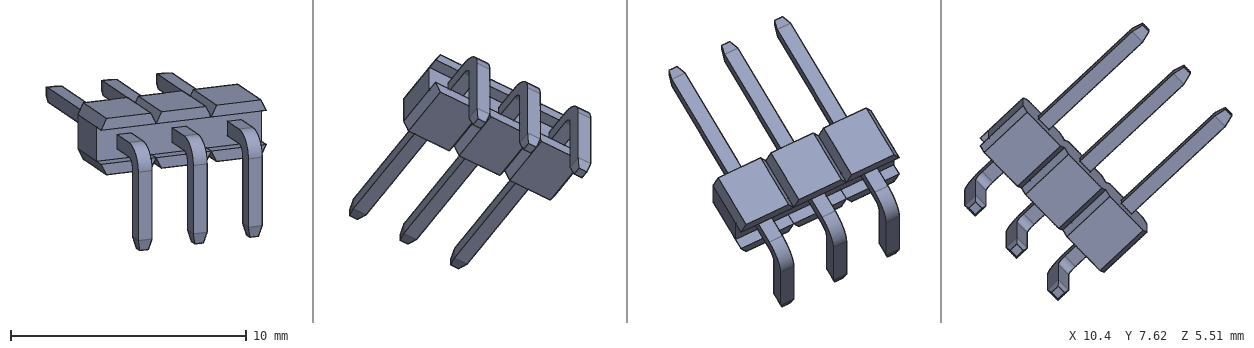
import cadquery as cq

pin_count = 3
total_length = 10.36
row_width = 7.62
pitch = row_width / pin_count

housing_front = 6.01
housing_depth = 2.54
housing_height = 2.51
bevel_width = 0.25
bevel_height = 0.5
channel_depth = 0.5
housing_back = housing_front + housing_depth
channel_height = housing_height - 2 * bevel_height

pin_size = 0.64
tip_size = 0.39
tip_length = 0.5
outer_bend_radius = 1.04
pin_drop = 4.25
half_pin = pin_size / 2
inner_bend_radius = outer_bend_radius - pin_size
bend_center_x = total_length - outer_bend_radius
bend_center_z = half_pin - outer_bend_radius
leg_x = total_length - half_pin

pin_positions = [(i - (pin_count - 1) / 2) * pitch for i in range(pin_count)]


def make_cell(y):
    """One pitch of the housing: a block with bevelled long edges."""
    half_width = pitch / 2
    half_height = housing_height / 2
    top_half_width = half_width - bevel_width
    bevel_z = half_height - bevel_height
    outline = [
        (y - top_half_width, half_height),
        (y + top_half_width, half_height),
        (y + half_width, bevel_z),
        (y + half_width, -bevel_z),
        (y + top_half_width, -half_height),
        (y - top_half_width, -half_height),
        (y - half_width, -bevel_z),
        (y - half_width, bevel_z),
    ]
    return (
        cq.Workplane("YZ", origin=(housing_front, 0, 0))
        .polyline(outline)
        .close()
        .extrude(housing_depth)
    )


def make_housing():
    """Joined cells with a square hole per pin and a channel along the back."""
    body = make_cell(pin_positions[0])
    for y in pin_positions[1:]:
        body = body.union(make_cell(y))
    channel = (
        cq.Workplane("XY")
        .box(channel_depth, row_width, channel_height)
        .translate((housing_back - channel_depth / 2, 0, 0))
    )
    holes = (
        cq.Workplane("YZ", origin=(housing_front, 0, 0))
        .pushPoints([(y, 0) for y in pin_positions])
        .rect(pin_size, pin_size)
        .extrude(housing_depth)
    )
    return body.cut(channel).cut(holes)


def make_tip(base_plane):
    """Square taper growing outwards from the end of a pin."""
    return (
        cq.Workplane(base_plane)
        .rect(pin_size, pin_size)
        .workplane(offset=tip_length)
        .rect(tip_size, tip_size)
        .loft(ruled=True)
    )


def make_pin(y):
    """Right-angle pin: straight, bend and downward leg, tapered at both ends."""
    profile = (
        cq.Workplane("XZ", origin=(0, y, 0))
        .moveTo(tip_length, half_pin)
        .lineTo(bend_center_x, half_pin)
        .radiusArc((total_length, bend_center_z), outer_bend_radius)
        .lineTo(total_length, tip_length - pin_drop)
        .lineTo(total_length - pin_size, tip_length - pin_drop)
        .lineTo(total_length - pin_size, bend_center_z)
        .radiusArc((bend_center_x, -half_pin), -inner_bend_radius)
        .lineTo(tip_length, -half_pin)
        .close()
    )
    bent_bar = profile.extrude(half_pin, both=True)
    front_plane = cq.Plane(origin=(tip_length, y, 0), xDir=(0, 1, 0), normal=(-1, 0, 0))
    leg_plane = cq.Plane(origin=(leg_x, y, tip_length - pin_drop), xDir=(1, 0, 0), normal=(0, 0, -1))
    return bent_bar.union(make_tip(front_plane)).union(make_tip(leg_plane))


housing = make_housing()
pins = [make_pin(y) for y in pin_positions]

result = cq.Compound.makeCompound([housing.val(), *[pin.val() for pin in pins]])